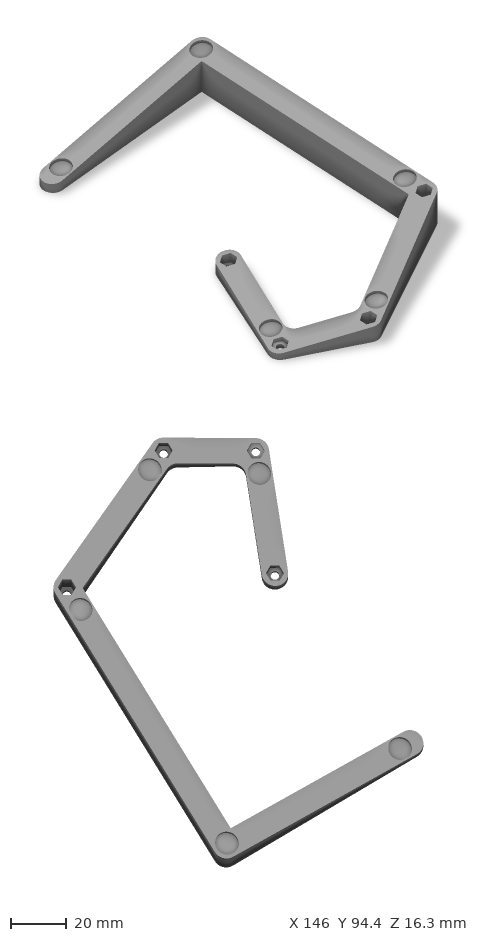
import cadquery as cq
import math

length_x = 146.0
length_y = 94.35
height = 16.26

link_width = 9.51
link_radius = link_width / 2
top_slope = 8.0
elbow_fillet = link_radius

leg_length = 76.85
first_link_length = 62.1
first_link_angle = 65.0
second_link_angle = 60.0
third_link_length = 45.65
third_link_angle = 22.5

magnet_diameter = 8.5
leg_magnet_drop = 72.65
corner_magnet_x = 0.7
corner_magnet_drop = 0.7
knuckle_magnet_gap = 9.5
middle_magnet_gap = 8.8
end_magnet_gap = 8.42
magnet_depth = 1.5
screw_diameter = 3.1
nut_across_flats = 5.6
nut_floor = 2.0


def step(point, distance, angle):
    """Point reached from `point` after `distance` in the direction `angle` (degrees)."""
    turn = math.radians(angle)
    return (point[0] + distance * math.cos(turn), point[1] + distance * math.sin(turn))


first_heading = -first_link_angle
second_heading = 180 + second_link_angle
third_heading = 180 - third_link_angle

corner = (0.0, 0.0)
leg_end = (0.0, -leg_length)
first_link_drop = first_link_length * math.sin(math.radians(first_link_angle))
second_link_drop = length_y - link_width - first_link_drop
second_link_length = second_link_drop / math.sin(math.radians(second_link_angle))
first_link_reach = first_link_length * math.cos(math.radians(first_link_angle))

knuckle = (length_x - link_width - first_link_reach, 0.0)
middle_joint = step(knuckle, first_link_length, first_heading)
end_joint = step(middle_joint, second_link_length, second_heading)
tip = step(end_joint, third_link_length, third_heading)

joints = [leg_end, corner, knuckle, middle_joint, end_joint, tip]
screw_points = [knuckle, middle_joint, end_joint, tip]
magnet_points = [
    (0.0, -leg_magnet_drop),
    (corner_magnet_x, -corner_magnet_drop),
    step(knuckle, knuckle_magnet_gap, 180),
    step(middle_joint, middle_magnet_gap, first_heading + 180),
    step(end_joint, end_magnet_gap, third_heading),
]


def link(start, end):
    """Full-height bar with round ends centred on two joints."""
    run = math.dist(start, end)
    angle = math.degrees(math.atan2(end[1] - start[1], end[0] - start[0]))
    middle = ((start[0] + end[0]) / 2, (start[1] + end[1]) / 2, 0)
    return (
        cq.Workplane("XY")
        .slot2D(run + link_width, link_width)
        .extrude(height)
        .rotate((0, 0, 0), (0, 0, 1), angle)
        .translate(middle)
    )


def inner_corner(joint, heading_in, heading_out):
    """Plan point where the inside faces of two right-turning links meet."""
    bisector = (heading_in + heading_out) / 2 - 90
    half_turn = math.radians((heading_out - heading_in) / 2)
    return step(joint, link_radius / math.cos(half_turn), bisector)


def fillet_inside(body, point):
    """Round the vertical edge standing at a plan point."""
    edge = cq.selectors.NearestToPointSelector((point[0], point[1], height / 2))
    return body.edges("|Z").edges(edge).fillet(elbow_fillet)


def top_z(y):
    """Height of the sloped top face at a given Y."""
    return height - (link_radius - y) * math.tan(math.radians(top_slope))


def make_arm():
    body = link(joints[0], joints[1])
    for start, end in zip(joints[1:], joints[2:]):
        body = body.union(link(start, end))
    body = fillet_inside(body, inner_corner(middle_joint, first_heading, second_heading - 360))
    body = fillet_inside(body, inner_corner(end_joint, second_heading, third_heading))
    front_y = link_radius - length_y
    wedge = (
        cq.Workplane("YZ")
        .polyline([(front_y, 0), (link_radius, 0), (link_radius, height), (front_y, top_z(front_y))])
        .close()
        .extrude(length_x)
        .translate((-link_radius, 0, 0))
    )
    return body.intersect(wedge)


def magnet_recess(point):
    """Round recess square to the sloped top face."""
    x, y = point
    slope = math.radians(top_slope)
    normal = cq.Vector(0, -math.sin(slope), math.cos(slope))
    base = cq.Vector(x, y, top_z(y)) - normal * magnet_depth
    tool = cq.Solid.makeCylinder(magnet_diameter / 2, 2 * magnet_depth, base, normal)
    return cq.Workplane(tool)


def nut_and_screw(point):
    """Vertical screw hole with a hexagonal nut pocket open at the top."""
    nut_across_corners = nut_across_flats / math.cos(math.pi / 6)
    hole = cq.Workplane("XY").center(*point).circle(screw_diameter / 2).extrude(height)
    pocket = (
        cq.Workplane("XY", origin=(0, 0, nut_floor))
        .center(*point)
        .polygon(6, nut_across_corners)
        .extrude(height)
    )
    return hole.union(pocket)


result = make_arm()
for spot in magnet_points:
    result = result.cut(magnet_recess(spot))
for spot in screw_points:
    result = result.cut(nut_and_screw(spot))